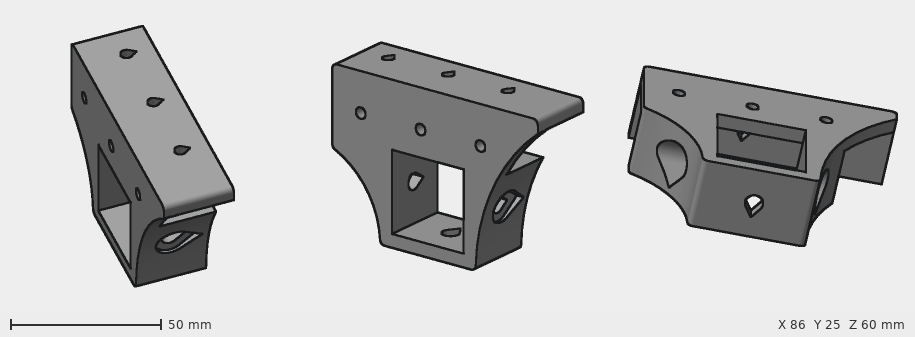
import cadquery as cq
import math

length = 86.0
depth = 25.0
height = 60.0
wall = 5.0
corner_radius = 2.0

bar_size = 30.0
foot_left = 20.0
bar_left = foot_left + wall
foot_width = bar_size + 2 * wall
foot_right = foot_left + foot_width
bar_center_x = foot_left + foot_width / 2
bar_center_z = wall + bar_size / 2

channel_floor = wall + bar_size
channel_height = height - wall - channel_floor

left_end_bottom = channel_floor - wall
right_end_bottom = 54.95

screw_diameter = 4.0
first_screw_x = 11.95
screw_spacing = 25.0
screw_count = 3
top_screw_y = 15.05

clamp_diameter = 6.0
clamp_recess_diameter = 12.0
side_clamp_y = 12.0
floor_clamp_y = depth / 2
teardrop_stretch = 1.75


def flank_point(end_x, end_z, foot_x):
    """Middle point of the arc that rises vertically from the foot to an end face."""
    run = end_x - foot_x
    radius = (run**2 + end_z**2) / (2 * abs(run))
    center_x = foot_x + math.copysign(radius, run)
    half_angle = math.asin(end_z / radius) / 2
    return (
        center_x - math.copysign(radius * math.cos(half_angle), run),
        radius * math.sin(half_angle),
    )


def teardrop(plane, diameter, thickness):
    """Teardrop prism with its tip along the plane's local +Y."""
    radius = diameter / 2
    tip = teardrop_stretch * radius
    tangent_y = radius / teardrop_stretch
    tangent_x = math.sqrt(radius**2 - tangent_y**2)
    return (
        cq.Workplane(plane)
        .moveTo(0, tip)
        .lineTo(tangent_x, tangent_y)
        .threePointArc((0, -radius), (-tangent_x, tangent_y))
        .close()
        .extrude(thickness)
    )


def make_body():
    """Profile extruded from the front face, rounded at every corner but the sharp tip on the right."""
    body = (
        cq.Workplane(cq.Plane((0, 0, 0), (1, 0, 0), (0, -1, 0)))
        .moveTo(foot_left, 0)
        .lineTo(foot_right, 0)
        .threePointArc(flank_point(length, right_end_bottom, foot_right), (length, right_end_bottom))
        .lineTo(length, height)
        .lineTo(0, height)
        .lineTo(0, left_end_bottom)
        .threePointArc(flank_point(0, left_end_bottom, foot_left), (foot_left, 0))
        .close()
        .extrude(-depth)
    )
    sharp_tip = cq.selectors.BoxSelector(
        (length - corner_radius, -depth, right_end_bottom - corner_radius),
        (length + corner_radius, 2 * depth, right_end_bottom + corner_radius),
    )
    depth_edges = cq.selectors.ParallelDirSelector(cq.Vector(0, 1, 0))
    rounded_corners = cq.selectors.SubtractSelector(depth_edges, sharp_tip)
    return body.edges(rounded_corners).fillet(corner_radius)


def cut_openings(body):
    """Rear channel and the square bar opening."""
    channel = cq.Workplane("XY").box(length, depth - wall, channel_height, centered=False)
    channel = channel.translate((0, wall, channel_floor))
    bar = cq.Workplane("XY").box(bar_size, depth, bar_size, centered=False)
    return body.cut(channel).cut(bar.translate((bar_left, 0, wall)))


def cut_screw_holes(body):
    """Round holes in the front wall and teardrop holes in the top wall."""
    screw_z = channel_floor + channel_height / 2
    for index in range(screw_count):
        x = first_screw_x + index * screw_spacing
        front_hole = cq.Workplane("XZ", origin=(x, 0, screw_z)).circle(screw_diameter / 2).extrude(-wall)
        top_plane = cq.Plane((x, top_screw_y, height - wall), (1, 0, 0), (0, 0, 1))
        body = body.cut(front_hole).cut(teardrop(top_plane, screw_diameter, wall))
    return body


def cut_clamp_holes(body):
    """Recessed holes through both side walls and a plain hole through the floor."""
    for direction, face_x in ((-1, foot_left), (1, foot_right)):
        inner_x = face_x - direction * wall
        inner_plane = cq.Plane((inner_x, side_clamp_y, bar_center_z), (0, 0, -direction), (direction, 0, 0))
        recess_plane = cq.Plane((face_x, side_clamp_y, bar_center_z), (0, 0, -direction), (direction, 0, 0))
        body = body.cut(teardrop(inner_plane, clamp_diameter, wall))
        body = body.cut(teardrop(recess_plane, clamp_recess_diameter, length))
    floor_plane = cq.Plane((bar_center_x, floor_clamp_y, 0), (1, 0, 0), (0, 0, 1))
    return body.cut(teardrop(floor_plane, clamp_diameter, wall))


result = cut_clamp_holes(cut_screw_holes(cut_openings(make_body())))